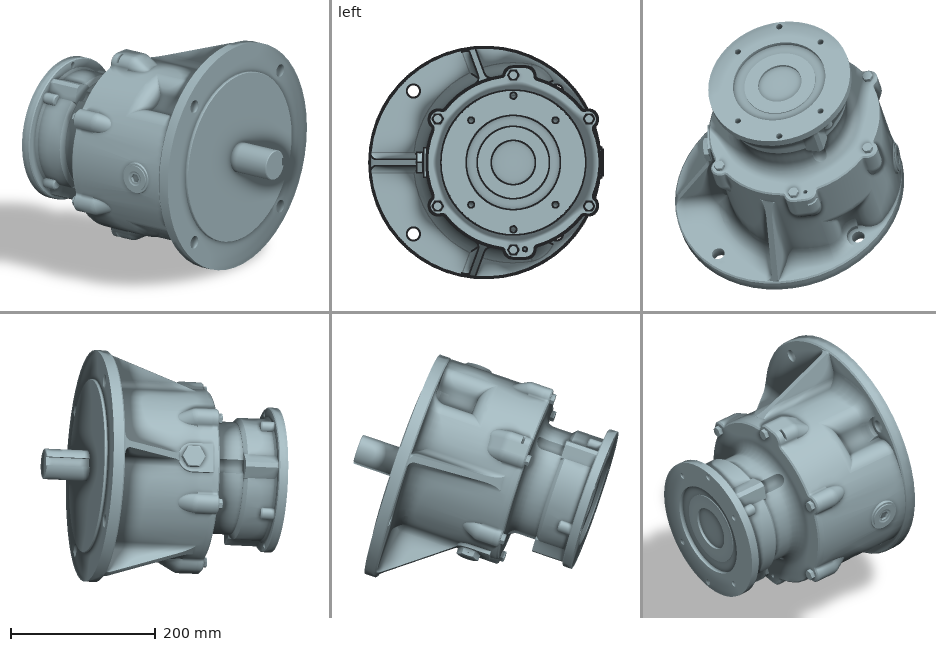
import cadquery as cq
import math


INPUT_FLANGE_BACK = 12.5
ADAPTER_CHAMFER_START = 53.0
ADAPTER_BACK = 58.5
COVER_FACE = 100.3
JOINT = 110.2
EAR_STRAIGHT_END = 130.8
FLANGE_FRONT = 250.3
FLANGE_BACK = 267.0
PILOT_BACK = 271.2
SHAFT_TIP = 332.0

INPUT_FLANGE_DIAMETER = 200.0
INPUT_FLANGE_CHAMFER = 1.3
ADAPTER_RADIUS = 84.0
ADAPTER_FOOT_FILLET = 3.0
NECK_RADIUS = 77.7
NECK_FILLET = 15.0
RECESS_DIAMETER = 130.0
RECESS_DEPTH = 6.0
RING_DIAMETER = 100.0
RING_HEIGHT = 1.3
BORE_DIAMETER = 61.0
BORE_DEPTH = 3.5
LUG_COUNT = 3
LUG_REACH = 95.5
LUG_TIP_WIDTH = 6.5
LUG_BASE_WIDTH = 34.0
GROOVE_RADIUS = 10.5
GROOVE_PITCH_RADIUS = 81.7
GROOVE_END = 87.5
MOTOR_HOLE_DIAMETER = 8.5
MOTOR_HOLE_PITCH_RADIUS = 82.5
MOTOR_HOLE_DEPTH = 20.0
DRILL_POINT_SLOPE = 31
BOSS_RADIUS = 8.0
BOSS_PITCH_RADIUS = 86.0
BOSS_END = 31.2
BOSS_CHAMFER = 1.5
THROUGH_HOLE_DIAMETER = 9.0
THROUGH_HOLE_PITCH_RADIUS = 92.3

CASE_RADIUS = 120.5
COVER_CHAMFER = 2.0
EAR_COUNT = 6
EAR_RADIUS = 14.0
EAR_PITCH_RADIUS = 119.2
EAR_FOOT_FILLET = 4.0
WIDE_EAR_SHIFT = 17.0
NOSE_TILT = 30
NOSE_LENGTH = 33.2
PRY_SLOT_WIDTH = 3.5
PRY_SLOT_BOTTOM = 122.5
PIN_HOLE_DIAMETER = 6.0
PIN_HOLE_Y = -16.0
PIN_HOLE_Z = -119.5

OUTPUT_AXIS_Y = 39.2
FLANGE_RADIUS = 160.0
FLANGE_CHAMFER = 2.0
FLANGE_HOLE_DIAMETER = 18.0
FLANGE_HOLE_PITCH_RADIUS = 139.5
PILOT_RADIUS = 120.0
PILOT_CHAMFER = 0.5
SHAFT_DIAMETER = 42.0
SHAFT_CHAMFER = 1.0
KEYWAY_WIDTH = 12.0
KEYWAY_DEPTH = 5.0
FLARE_RADIUS = 17.5

POCKET_RADIUS = 19.3
POCKET_ROUND = 22.0
POCKET_END_ROUND = 20.0
POCKET_START = 174.3
SPOT_RADIUS = 15.0

RIB_THICKNESS = 9.0
RIB_FILLET = 10.0
MAIN_RIB_START = 153.7
MAIN_RIB_TOP = 197.2
SIDE_RIB_ANGLE = 70
SIDE_RIB_START = 120.5
SIDE_RIB_TOP = 167.3

SCREW_PITCH_RADIUS = 120.5
SCREW_HEAD_FLATS = 13.0
SCREW_HEAD_HEIGHT = 5.5
SCREW_SHANK_DIAMETER = 8.0
SCREW_SHANK_LENGTH = 25.0
HEAD_CHAMFER_HEIGHT = 0.5

PLUG_X = 212.0
PLUG_FACE_Y = -124.0
PLUG_BOSS_FACE_Y = -122.0
PLUG_BOSS_HEIGHT = 4.5
PLUG_BOSS_FOOT_DIAMETER = 45.0
PLUG_BOSS_TOP_DIAMETER = 42.0
PLUG_HEAD_DIAMETER = 36.5
PLUG_SHANK_DIAMETER = 26.0
PLUG_SHANK_LENGTH = 10.0
PLUG_SINK_DIAMETER = 21.2
PLUG_SINK_FLOOR_DIAMETER = 17.3
PLUG_SINK_DEPTH = 1.0
PLUG_SOCKET_FLATS = 12.0
PLUG_SOCKET_DEPTH = 5.0

BREATHER_X = 139.8
BREATHER_SEAT_Y = 124.0
BREATHER_SEAT_RADIUS = 20.3
BREATHER_COLLAR_RADIUS = 14.0
BREATHER_COLLAR_HEIGHT = 1.0
BREATHER_FLATS = 28.0
BREATHER_TOP_Y = 133.5
BREATHER_SHANK_DIAMETER = 15.0
BREATHER_SHANK_LENGTH = 10.0
VENT_DIAMETER = 1.5
VENT_DEPTH = 3.3


def hex_corner_diameter(flats):
    return flats / math.cos(math.radians(30))


def x_plane(x):
    """Sketch plane at station x whose local axes are Y and Z."""
    return cq.Workplane("YZ", origin=(x, 0, 0))


def y_plane(x, y):
    """Sketch plane facing +Y, centred at (x, y, 0)."""
    return cq.Workplane(cq.Plane(origin=(x, y, 0), xDir=(1, 0, 0), normal=(0, 1, 0)))


def cylinder(start, end, radius, y=0.0, z=0.0):
    return x_plane(start).center(y, z).circle(radius).extrude(end - start)


def turned(points, y=0.0, z=0.0):
    """Revolve an outline of (x, radius) points about the axis parallel to X through (y, z)."""
    outline = cq.Workplane("XY").polyline(points).close()
    return outline.revolve(360, (0, 0, 0), (1, 0, 0)).translate((0, y, z))


def around_x(body, angle):
    """Turn a body modelled on the +Y side by an angle from +Y towards +Z."""
    return body.rotate((0, 0, 0), (1, 0, 0), angle)


def polar(radius, angle):
    return radius * math.cos(math.radians(angle)), radius * math.sin(math.radians(angle))


CORNER_ANGLES = (45, 135, 225, 315)
SIN_45 = math.sin(math.radians(45))
EAR_ANGLES = [30 + 360 / EAR_COUNT * i for i in range(EAR_COUNT)]
WIDE_EAR_SIGNS = (1, -1)


def ear_foot(y, z, start, end):
    """Prism filling the concave corners where an ear meets the round case."""
    centre_radius = CASE_RADIUS + EAR_FOOT_FILLET
    centre_gap = EAR_RADIUS + EAR_FOOT_FILLET
    pitch = math.hypot(y, z)
    spread = math.acos((pitch**2 + centre_radius**2 - centre_gap**2) / (2 * pitch * centre_radius))
    heading = math.atan2(z, y)
    left = polar(centre_radius, math.degrees(heading + spread))
    right = polar(centre_radius, math.degrees(heading - spread))
    outline = x_plane(start).polyline([(0, 0), left, (y, z), right]).close().extrude(end - start)
    for centre in (left, right):
        outline = outline.cut(cylinder(start, end, EAR_FOOT_FILLET, *centre))
    return outline


def ears(start, end):
    """All six ear prisms; the two on the Z axis are stretched towards -Y."""
    centres = [polar(EAR_PITCH_RADIUS, angle) for angle in EAR_ANGLES]
    centres += [(-WIDE_EAR_SHIFT, sign * EAR_PITCH_RADIUS) for sign in WIDE_EAR_SIGNS]
    body = cylinder(start, end, CASE_RADIUS)
    for centre in centres:
        body = body.union(cylinder(start, end, EAR_RADIUS, *centre))
        body = body.union(ear_foot(*centre, start, end))
    for sign in WIDE_EAR_SIGNS:
        bridge = x_plane(start).center(-WIDE_EAR_SHIFT / 2, sign * EAR_PITCH_RADIUS)
        body = body.union(bridge.rect(WIDE_EAR_SHIFT, 2 * EAR_RADIUS).extrude(end - start))
    return body


def ear_nose():
    """Nose of an ear on the +Y side: a bar tilted into the case from a ball at the ear's end."""
    ball = cq.Workplane("XY").sphere(EAR_RADIUS)
    bar = cylinder(0, NOSE_LENGTH, EAR_RADIUS).rotate((0, 0, 0), (0, 0, 1), -NOSE_TILT)
    return ball.union(bar).translate((EAR_STRAIGHT_END, EAR_PITCH_RADIUS, 0))


def wide_ear_nose():
    """Two noses side by side with a slab between them, on the +Z side."""
    nose = around_x(ear_nose(), 90)
    slab = x_plane(0).rect(WIDE_EAR_SHIFT, 2 * EAR_RADIUS).extrude(NOSE_LENGTH)
    slab = slab.rotate((0, 0, 0), (0, 1, 0), NOSE_TILT)
    pivot = cq.Workplane("XZ").circle(EAR_RADIUS).extrude(WIDE_EAR_SHIFT / 2, both=True)
    slab = slab.union(pivot).translate((EAR_STRAIGHT_END, -WIDE_EAR_SHIFT / 2, EAR_PITCH_RADIUS))
    return nose.union(nose.translate((0, -WIDE_EAR_SHIFT, 0))).union(slab)


def ear_noses():
    noses = wide_ear_nose().union(wide_ear_nose().mirror("XY"))
    for angle in EAR_ANGLES:
        noses = noses.union(around_x(ear_nose(), angle))
    return noses.intersect(cylinder(JOINT, FLANGE_FRONT, 2 * CASE_RADIUS))


def cover_screw():
    """Screw on the main axis: a hex head on the cover face and its shank."""
    head_start = COVER_FACE - SCREW_HEAD_HEIGHT
    corner_diameter = hex_corner_diameter(SCREW_HEAD_FLATS)
    corner_radius = corner_diameter / 2
    head = x_plane(head_start).polygon(6, corner_diameter).extrude(SCREW_HEAD_HEIGHT)
    corner_trim = turned(
        [
            (head_start, 0),
            (head_start, SCREW_HEAD_FLATS / 2),
            (head_start + HEAD_CHAMFER_HEIGHT, corner_radius),
            (COVER_FACE, corner_radius),
            (COVER_FACE, 0),
        ]
    )
    shank = cylinder(COVER_FACE, COVER_FACE + SCREW_SHANK_LENGTH, SCREW_SHANK_DIAMETER / 2)
    return head.intersect(corner_trim).union(shank)


def cover_screws():
    places = [polar(SCREW_PITCH_RADIUS, angle) for angle in EAR_ANGLES]
    return [cover_screw().translate((0, y, z)).val() for y, z in places]


def screw_holes():
    holes = cq.Workplane("XY")
    for angle in EAR_ANGLES:
        centre = polar(SCREW_PITCH_RADIUS, angle)
        end = COVER_FACE + SCREW_SHANK_LENGTH
        holes = holes.union(cylinder(COVER_FACE, end, SCREW_SHANK_DIAMETER / 2, *centre))
    return holes


def adapter_lug():
    """Lug on the +Y side with 45 degree sides and a narrow flat tip."""
    half_tip = LUG_TIP_WIDTH / 2
    half_base = LUG_BASE_WIDTH / 2
    shoulder = LUG_REACH - (half_base - half_tip)
    outline = [
        (0, -half_base),
        (shoulder, -half_base),
        (LUG_REACH, -half_tip),
        (LUG_REACH, half_tip),
        (shoulder, half_base),
        (0, half_base),
    ]
    return x_plane(INPUT_FLANGE_BACK).polyline(outline).close().extrude(ADAPTER_BACK - INPUT_FLANGE_BACK)


def adapter():
    """Round body with three lugs, chamfered at the neck and stepped out at the flange."""
    foot_end = INPUT_FLANGE_BACK + ADAPTER_FOOT_FILLET
    body = turned(
        [
            (0, 0),
            (0, INPUT_FLANGE_DIAMETER / 2),
            (INPUT_FLANGE_BACK - INPUT_FLANGE_CHAMFER, INPUT_FLANGE_DIAMETER / 2),
            (INPUT_FLANGE_BACK, INPUT_FLANGE_DIAMETER / 2 - INPUT_FLANGE_CHAMFER),
            (INPUT_FLANGE_BACK, ADAPTER_RADIUS + ADAPTER_FOOT_FILLET),
            (foot_end, ADAPTER_RADIUS),
            (ADAPTER_CHAMFER_START, ADAPTER_RADIUS),
            (ADAPTER_BACK, ADAPTER_RADIUS - ADAPTER_BACK + ADAPTER_CHAMFER_START),
            (ADAPTER_BACK, 0),
        ]
    )
    for i in range(LUG_COUNT):
        body = body.union(around_x(adapter_lug(), 360 / LUG_COUNT * i))
    return body


def neck_and_plate():
    fillet_start = COVER_FACE - NECK_FILLET
    fillet_foot = NECK_RADIUS + NECK_FILLET
    neck = (
        cq.Workplane("XY")
        .moveTo(ADAPTER_BACK, 0)
        .lineTo(ADAPTER_BACK, NECK_RADIUS)
        .lineTo(fillet_start, NECK_RADIUS)
        .threePointArc(
            (fillet_start + NECK_FILLET * SIN_45, fillet_foot - NECK_FILLET * SIN_45),
            (COVER_FACE, fillet_foot),
        )
        .lineTo(COVER_FACE, 0)
        .close()
        .revolve(360, (0, 0, 0), (1, 0, 0))
    )
    for i in range(LUG_COUNT):
        groove = cylinder(ADAPTER_BACK, GROOVE_END, GROOVE_RADIUS, GROOVE_PITCH_RADIUS)
        groove_end = cq.Workplane("XY").sphere(GROOVE_RADIUS)
        groove = groove.union(groove_end.translate((GROOVE_END, GROOVE_PITCH_RADIUS, 0)))
        groove = groove.intersect(cylinder(ADAPTER_BACK, COVER_FACE, CASE_RADIUS))
        neck = neck.cut(around_x(groove, 360 / LUG_COUNT * i))
    plate = ears(COVER_FACE, JOINT).faces("<X").chamfer(COVER_CHAMFER)
    return neck.union(plate)


def motor_bosses():
    bosses = cq.Workplane("XY")
    for angle in CORNER_ANGLES:
        boss = cylinder(INPUT_FLANGE_BACK, BOSS_END, BOSS_RADIUS).faces(">X").chamfer(BOSS_CHAMFER)
        bosses = bosses.union(boss.translate((0, *polar(BOSS_PITCH_RADIUS, angle))))
    return bosses


def motor_holes():
    """Four blind drilled holes and two holes through the rim of the input flange."""
    radius = MOTOR_HOLE_DIAMETER / 2
    drill_point = MOTOR_HOLE_DEPTH + radius * math.tan(math.radians(DRILL_POINT_SLOPE))
    outline = [(0, 0), (0, radius), (MOTOR_HOLE_DEPTH, radius), (drill_point, 0)]
    holes = cq.Workplane("XY")
    for angle in CORNER_ANGLES:
        holes = holes.union(turned(outline, *polar(MOTOR_HOLE_PITCH_RADIUS, angle)))
    for angle in (90, 270):
        centre = polar(THROUGH_HOLE_PITCH_RADIUS, angle)
        holes = holes.union(cylinder(0, INPUT_FLANGE_BACK, THROUGH_HOLE_DIAMETER / 2, *centre))
    return holes


def input_recess():
    """Round recess in the input face, with a low ring and a shallow bore in its floor."""
    ring_face = RECESS_DEPTH - RING_HEIGHT
    return turned(
        [
            (0, 0),
            (0, RECESS_DIAMETER / 2),
            (RECESS_DEPTH, RECESS_DIAMETER / 2),
            (RECESS_DEPTH, RING_DIAMETER / 2),
            (ring_face, RING_DIAMETER / 2),
            (ring_face, BORE_DIAMETER / 2),
            (ring_face + BORE_DEPTH, BORE_DIAMETER / 2),
            (ring_face + BORE_DEPTH, 0),
        ]
    )


def input_cover():
    body = adapter().union(neck_and_plate()).union(motor_bosses())
    pin_hole = cylinder(COVER_FACE, JOINT, PIN_HOLE_DIAMETER / 2, PIN_HOLE_Y, PIN_HOLE_Z)
    return body.cut(input_recess()).cut(motor_holes()).cut(screw_holes()).cut(pin_hole)


def drain_plug():
    """Plug with a sunk hex socket; its shank enters the case along +Y."""
    head_height = PLUG_BOSS_FACE_Y - PLUG_FACE_Y
    plug = y_plane(PLUG_X, PLUG_FACE_Y).circle(PLUG_HEAD_DIAMETER / 2).extrude(head_height)
    shank = y_plane(PLUG_X, PLUG_BOSS_FACE_Y).circle(PLUG_SHANK_DIAMETER / 2)
    sink = (
        y_plane(PLUG_X, PLUG_FACE_Y)
        .circle(PLUG_SINK_DIAMETER / 2)
        .workplane(offset=PLUG_SINK_DEPTH)
        .circle(PLUG_SINK_FLOOR_DIAMETER / 2)
        .loft()
    )
    socket = y_plane(PLUG_X, PLUG_FACE_Y).polygon(6, hex_corner_diameter(PLUG_SOCKET_FLATS))
    plug = plug.union(shank.extrude(PLUG_SHANK_LENGTH))
    return plug.cut(sink).cut(socket.extrude(PLUG_SOCKET_DEPTH))


def drain_boss():
    """Low cone on the case that carries the plug head, bored for the plug shank."""
    return (
        y_plane(PLUG_X, PLUG_BOSS_FACE_Y)
        .circle(PLUG_BOSS_TOP_DIAMETER / 2)
        .workplane(offset=PLUG_BOSS_HEIGHT)
        .circle(PLUG_BOSS_FOOT_DIAMETER / 2)
        .loft()
    )


def drain_hole():
    hole = y_plane(PLUG_X, PLUG_BOSS_FACE_Y).circle(PLUG_SHANK_DIAMETER / 2)
    return hole.extrude(PLUG_SHANK_LENGTH)


def breather():
    """Hex-headed breather on a round collar, with a vent hole in its upper flat."""
    collar = y_plane(BREATHER_X, BREATHER_SEAT_Y).circle(BREATHER_COLLAR_RADIUS)
    corner_diameter = hex_corner_diameter(BREATHER_FLATS)
    head_foot_y = BREATHER_SEAT_Y + BREATHER_COLLAR_HEIGHT
    head_height = BREATHER_TOP_Y - head_foot_y
    head = y_plane(BREATHER_X, head_foot_y).polygon(6, corner_diameter).extrude(head_height)
    corner_trim = y_plane(BREATHER_X, head_foot_y).circle(corner_diameter / 2).extrude(head_height)
    corner_trim = corner_trim.faces(">Y").chamfer(
        HEAD_CHAMFER_HEIGHT, (corner_diameter - BREATHER_FLATS) / 2
    )
    vent = cq.Workplane("XY", origin=(BREATHER_X, (head_foot_y + BREATHER_TOP_Y) / 2, 0))
    vent = vent.workplane(offset=BREATHER_FLATS / 2 - VENT_DEPTH).circle(VENT_DIAMETER / 2)
    body = head.intersect(corner_trim).cut(vent.extrude(VENT_DEPTH))
    return body.union(collar.extrude(BREATHER_COLLAR_HEIGHT)).union(breather_shank())


def breather_shank():
    shank = y_plane(BREATHER_X, BREATHER_SEAT_Y).circle(BREATHER_SHANK_DIAMETER / 2)
    return shank.extrude(-BREATHER_SHANK_LENGTH)


def breather_seat():
    """Flat pad on the case, from the joint to a rounded end."""
    pad_depth = 2 * (BREATHER_SEAT_Y - CASE_RADIUS)
    plane = y_plane((JOINT + BREATHER_X) / 2, BREATHER_SEAT_Y)
    pad = plane.rect(BREATHER_X - JOINT, 2 * BREATHER_SEAT_RADIUS).extrude(-pad_depth)
    end = y_plane(BREATHER_X, BREATHER_SEAT_Y).circle(BREATHER_SEAT_RADIUS).extrude(-pad_depth)
    return pad.union(end)


def flange_hole_places():
    places = [polar(FLANGE_HOLE_PITCH_RADIUS, angle) for angle in CORNER_ANGLES]
    return [(OUTPUT_AXIS_Y + y, z) for y, z in places]


def pocket_prism():
    """Prism, on the +Y side, that clears a flange hole with rounded shoulders to the case."""
    hole_reach = min(math.hypot(y, z) for y, z in flange_hole_places())
    round_pitch = CASE_RADIUS - POCKET_ROUND
    round_gap = POCKET_RADIUS + POCKET_ROUND
    spread = math.degrees(
        math.acos((hole_reach**2 + round_pitch**2 - round_gap**2) / (2 * hole_reach * round_pitch))
    )
    round_y, round_z = polar(round_pitch, spread)
    case_y, case_z = polar(CASE_RADIUS, spread)
    heading = math.degrees(math.atan2(round_z, round_y - hole_reach))
    side_y, side_z = polar(POCKET_RADIUS, heading)
    side_y += hole_reach
    middle = (spread + heading - 180) / 2
    arc_y, arc_z = polar(POCKET_ROUND, middle)
    arc_y += round_y
    arc_z += round_z
    outline = (
        x_plane(POCKET_START)
        .moveTo(case_y, case_z)
        .threePointArc((arc_y, arc_z), (side_y, side_z))
        .threePointArc((hole_reach - POCKET_RADIUS, 0), (side_y, -side_z))
        .threePointArc((arc_y, -arc_z), (case_y, -case_z))
        .lineTo(2 * CASE_RADIUS, -case_z)
        .lineTo(2 * CASE_RADIUS, case_z)
        .close()
    )
    return outline.extrude(FLANGE_FRONT - POCKET_START)


def pocket_end_limit():
    """Space around the case in which the pockets end, leaving a convex round at their start."""
    floor = CASE_RADIUS - POCKET_END_ROUND
    wall_x = POCKET_START + POCKET_END_ROUND
    return (
        cq.Workplane("XY")
        .moveTo(POCKET_START, CASE_RADIUS)
        .threePointArc(
            (POCKET_START + POCKET_END_ROUND * SIN_45, floor + POCKET_END_ROUND * SIN_45), (wall_x, floor)
        )
        .lineTo(wall_x, 0)
        .lineTo(FLANGE_FRONT, 0)
        .lineTo(FLANGE_FRONT, 2 * CASE_RADIUS)
        .lineTo(POCKET_START, 2 * CASE_RADIUS)
        .close()
        .revolve(360, (0, 0, 0), (1, 0, 0))
    )


def pocket_places():
    """Flange holes lying behind the case."""
    return [(y, z) for y, z in flange_hole_places() if y < 0]


def pockets():
    pocket = pocket_prism().intersect(pocket_end_limit())
    tools = cq.Workplane("XY")
    for y, z in pocket_places():
        tools = tools.union(around_x(pocket, math.degrees(math.atan2(z, y))))
    return tools


def plain_side(start):
    """Space outside the case, beyond the pocket centres towards -Y, that the flare leaves free."""
    edge_y = min(y for y, z in pocket_places())
    reach = 3 * CASE_RADIUS
    beyond = x_plane(start).center(edge_y - reach / 2, 0).rect(reach, 2 * reach)
    beyond = beyond.extrude(FLANGE_FRONT - start)
    return beyond.cut(cylinder(start, FLANGE_FRONT, CASE_RADIUS).cut(pockets()))


def case_and_flange():
    """Round case with pockets, flaring out into the output flange."""
    body = cylinder(JOINT, FLANGE_FRONT, CASE_RADIUS).cut(pockets())
    rear_start = FLANGE_FRONT - 2 * FLARE_RADIUS
    flare_start = FLANGE_FRONT - FLARE_RADIUS
    front_end = body.intersect(cylinder(JOINT, flare_start, CASE_RADIUS))
    rear_end = body.intersect(cylinder(rear_start, FLANGE_FRONT, CASE_RADIUS))
    flare = rear_end.union(cylinder(FLANGE_FRONT, FLANGE_BACK, 2 * CASE_RADIUS))
    margin = FLARE_RADIUS / 2
    reach = CASE_RADIUS + margin
    meeting_edges = cq.selectors.BoxSelector(
        (FLANGE_FRONT - margin, -reach, -reach),
        (FLANGE_FRONT + margin, reach, reach),
        boundingbox=True,
    )
    flare = flare.edges(meeting_edges).fillet(FLARE_RADIUS)
    for place in pocket_places():
        flare = flare.cut(cylinder(rear_start, FLANGE_FRONT, SPOT_RADIUS, *place))
    flare = flare.cut(plain_side(rear_start))
    flare = flare.intersect(cylinder(flare_start, FLANGE_BACK, FLANGE_RADIUS, OUTPUT_AXIS_Y))
    return flare.union(front_end, clean=False)


def rib(start, top, foot_sides):
    """Triangular web on the +Y side with concave feet along the case.

    The flange has a concave foot too, on the sides listed: 1 for +Z, -1 for -Z.
    """
    half = RIB_THICKNESS / 2
    foot_z = half + RIB_FILLET
    inset = RIB_FILLET * (1 - SIN_45)
    foot_centre_y = math.sqrt((CASE_RADIUS + RIB_FILLET) ** 2 - foot_z**2)
    contact_scale = CASE_RADIUS / (CASE_RADIUS + RIB_FILLET)
    case_foot = (
        x_plane(start)
        .polyline(
            [
                (0, 0),
                (foot_centre_y * contact_scale, -foot_z * contact_scale),
                (foot_centre_y, -foot_z),
                (foot_centre_y, foot_z),
                (foot_centre_y * contact_scale, foot_z * contact_scale),
            ]
        )
        .close()
        .extrude(FLANGE_FRONT - start)
    )
    for side in (1, -1):
        case_foot = case_foot.cut(
            cylinder(start, FLANGE_FRONT, RIB_FILLET, foot_centre_y, side * foot_z)
        )
    length = FLANGE_FRONT - start
    web = cq.Workplane("XY").box(length, top, RIB_THICKNESS, centered=(False, False, True))
    web = web.translate((start, 0, 0))
    fillet_start = FLANGE_FRONT - RIB_FILLET
    for side in foot_sides:
        flange_foot = (
            y_plane(0, 0)
            .moveTo(fillet_start, 0)
            .lineTo(fillet_start, -side * half)
            .threePointArc(
                (FLANGE_FRONT - inset, -side * (half + inset)), (FLANGE_FRONT, -side * foot_z)
            )
            .lineTo(FLANGE_FRONT, 0)
            .close()
            .extrude(top)
        )
        web = web.union(flange_foot)
    slope = [(start, 0), (start, CASE_RADIUS), (FLANGE_FRONT, top), (FLANGE_FRONT, 0)]
    under_slope = cq.Workplane("XY").polyline(slope).close().extrude(foot_z, both=True)
    return web.union(case_foot).intersect(under_slope)


def ribs():
    body = rib(MAIN_RIB_START, MAIN_RIB_TOP, (1, -1))
    for sign in (1, -1):
        side_rib = rib(SIDE_RIB_START, SIDE_RIB_TOP, (-sign,))
        body = body.union(around_x(side_rib, sign * SIDE_RIB_ANGLE))
    rim = cylinder(SIDE_RIB_START, FLANGE_FRONT, FLANGE_RADIUS - FLANGE_CHAMFER, OUTPUT_AXIS_Y)
    return body.intersect(rim)


def pry_slots():
    """Slots at the joint, across the -Y end of the two wide ears."""
    width = EAR_RADIUS + EAR_FOOT_FILLET
    height = EAR_PITCH_RADIUS + EAR_RADIUS - PRY_SLOT_BOTTOM
    slots = cq.Workplane("XY")
    for sign in WIDE_EAR_SIGNS:
        centre = (-WIDE_EAR_SHIFT - width / 2, sign * (PRY_SLOT_BOTTOM + height / 2))
        slots = slots.union(x_plane(JOINT).center(*centre).rect(width, height).extrude(PRY_SLOT_WIDTH))
    return slots


def pilot_and_shaft():
    """Centring spigot and output shaft, with a keyway along the +Y side of the shaft."""
    pilot = cylinder(FLANGE_BACK, PILOT_BACK, PILOT_RADIUS, OUTPUT_AXIS_Y)
    shaft = cylinder(PILOT_BACK, SHAFT_TIP, SHAFT_DIAMETER / 2, OUTPUT_AXIS_Y)
    pilot = pilot.faces(">X").chamfer(PILOT_CHAMFER)
    shaft = shaft.faces(">X").chamfer(SHAFT_CHAMFER)
    keyway_floor = OUTPUT_AXIS_Y + SHAFT_DIAMETER / 2 - KEYWAY_DEPTH
    keyway = x_plane(PILOT_BACK).center(keyway_floor + SHAFT_DIAMETER / 2, 0)
    keyway = keyway.rect(SHAFT_DIAMETER, KEYWAY_WIDTH).extrude(SHAFT_TIP - PILOT_BACK)
    return pilot.union(shaft.cut(keyway))


def flange_chamfer():
    """Ring removed from the front rim of the flange."""
    rim = [
        (FLANGE_FRONT, FLANGE_RADIUS - FLANGE_CHAMFER),
        (FLANGE_FRONT, FLANGE_RADIUS + FLANGE_CHAMFER),
        (FLANGE_FRONT + FLANGE_CHAMFER, FLANGE_RADIUS + FLANGE_CHAMFER),
        (FLANGE_FRONT + FLANGE_CHAMFER, FLANGE_RADIUS),
    ]
    return turned(rim, OUTPUT_AXIS_Y)


def flange_holes():
    holes = cq.Workplane("XY")
    for place in flange_hole_places():
        holes = holes.union(cylinder(FLANGE_FRONT, FLANGE_BACK, FLANGE_HOLE_DIAMETER / 2, *place))
    return holes


def housing():
    """Case, output flange, pilot and shaft, bored for the screws, the plug and the breather."""
    body = case_and_flange().cut(flange_chamfer())
    features = (
        ears(JOINT, EAR_STRAIGHT_END),
        ear_noses(),
        ribs(),
        pilot_and_shaft(),
        drain_boss(),
        breather_seat(),
    )
    for feature in features:
        body = body.union(feature, clean=False)
    body = body.cut(flange_holes()).cut(screw_holes()).cut(pry_slots())
    return body.cut(drain_hole()).cut(breather_shank())


result = cq.Compound.makeCompound(
    [
        housing().val(),
        input_cover().val(),
        *cover_screws(),
        drain_plug().val(),
        breather().val(),
    ]
)